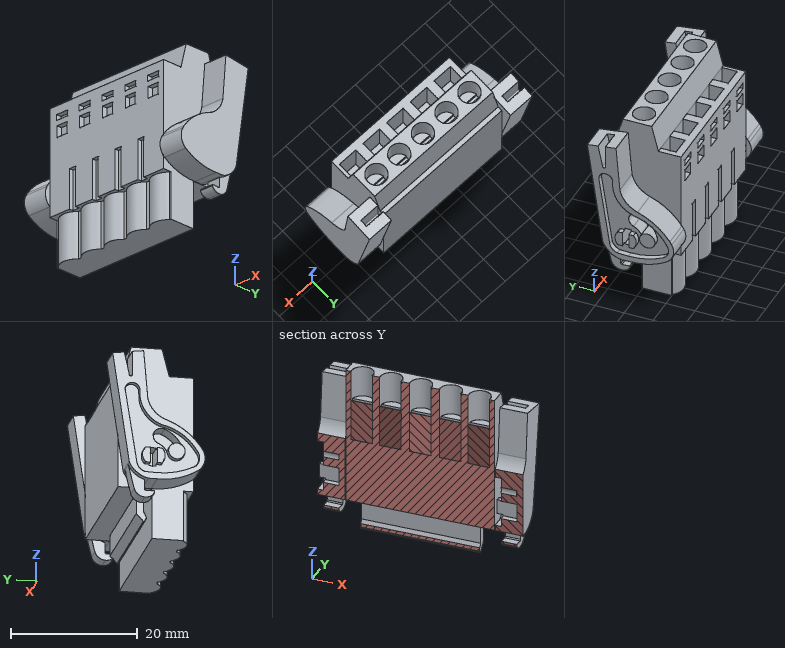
import cadquery as cq
import math


overall_width = 35.1
pole_count = 5
pitch = 5.1
housing_width = 25.4
lever_width = 4.75

housing_depth = 12.15
body_bottom = 8.3
shoulder_height = 27.3
housing_top = 31.8
front_shoulder_y = 3.9
back_shoulder_y = 11.3
ridge_front_y = 5.05
ridge_back_y = 10.05

sleeve_back_y = 6.7
sleeve_web_y = 1.6
sleeve_front_y = 0.6
sleeve_chord = 4.5

screw_y = (ridge_front_y + ridge_back_y) / 2
inner_screw_x = 5.1
outer_screw_x = 10.0
screw_radius = 1.83
screw_length = 7.02
screw_recess = 5.25
screw_slot_width = 0.63
screw_slot_depth = 0.63

entry_offset_x = 0.18
entry_width = 3.5
entry_front_y = 1.25
entry_depth = 7.02

window_depth = 1.0
label_width = 2.42
label_height = 1.02
label_z = 25.25
test_width = 2.2
test_height = 2.05
test_z = 22.75

groove_width = 1.3
groove_top = 15.35
groove_depth = 0.77

latch_width = (pole_count - 1) * pitch

lever_recess = 1.0
blind_depth = 3.6
hook_width = 2.67
pivot_y = 7.4
pivot_z = 12.25
pivot_radius = 1.55
pivot_head_radius = 1.83
pivot_head_height = 2.5
pivot_gap = 1.12
guide_radius = 3.83
guide_start_angle = 14.0
guide_end_angle = 68.0
guide_half_width = 1.35

pole_x = [(i - (pole_count - 1) / 2) * pitch for i in range(pole_count)]
groove_x = [x + pitch / 2 for x in pole_x[:-1]]
screw_x = [-outer_screw_x, -inner_screw_x, 0, inner_screw_x, outer_screw_x]


def block(x_mid, width, y_range, z_range):
    """Box centred on x_mid, between the given Y and Z limits."""
    y_min, y_max = y_range
    z_min, z_max = z_range
    box = cq.Workplane("XY").box(width, y_max - y_min, z_max - z_min, centered=(True, False, False))
    return box.translate((x_mid, y_min, z_min))


def side_sketch(x):
    """Workplane at the given X, with Y and Z as its axes; it extrudes toward +X."""
    return cq.Workplane("YZ", origin=(x, 0, 0))


def housing_body():
    return (
        side_sketch(-housing_width / 2)
        .moveTo(0, body_bottom)
        .lineTo(0, shoulder_height)
        .lineTo(front_shoulder_y, shoulder_height)
        .lineTo(ridge_front_y, housing_top)
        .lineTo(ridge_back_y, housing_top)
        .lineTo(back_shoulder_y, shoulder_height)
        .lineTo(housing_depth, shoulder_height)
        .lineTo(housing_depth, body_bottom)
        .close()
        .extrude(housing_width)
    )


def plug_sleeves():
    """Row of sleeves below the body, each with a bowed front between flat webs."""
    row = cq.Workplane("XY").moveTo(-housing_width / 2, sleeve_back_y).lineTo(-housing_width / 2, sleeve_web_y)
    for x in pole_x:
        row = row.lineTo(x - sleeve_chord / 2, sleeve_web_y)
        row = row.threePointArc((x, sleeve_front_y), (x + sleeve_chord / 2, sleeve_web_y))
    row = row.lineTo(housing_width / 2, sleeve_web_y).lineTo(housing_width / 2, sleeve_back_y)
    return row.close().extrude(body_bottom)


def latch_strip():
    """Downward strip with a hooked lower edge, behind the sleeves."""
    return (
        side_sketch(-latch_width / 2)
        .moveTo(8.7, body_bottom)
        .lineTo(8.7, 4.88)
        .lineTo(7.55, 3.7)
        .lineTo(7.35, 3.7)
        .lineTo(7.05, 4.28)
        .lineTo(7.5, 5.3)
        .lineTo(7.5, body_bottom)
        .close()
        .extrude(latch_width)
    )


def screw_holes():
    return (
        cq.Workplane("XY", origin=(0, 0, housing_top))
        .pushPoints([(x, screw_y) for x in screw_x])
        .circle(screw_radius)
        .extrude(-(screw_recess + screw_length))
    )


def make_housing():
    housing = housing_body().union(plug_sleeves()).union(latch_strip()).cut(screw_holes())
    for x in pole_x:
        entry_x = x + entry_offset_x
        entry_z = (shoulder_height - entry_depth, shoulder_height)
        label_span = (label_z - label_height / 2, label_z + label_height / 2)
        test_span = (test_z - test_height / 2, test_z + test_height / 2)
        housing = housing.cut(block(entry_x, entry_width, (entry_front_y, front_shoulder_y), entry_z))
        housing = housing.cut(block(entry_x, label_width, (0, window_depth), label_span))
        housing = housing.cut(block(entry_x, test_width, (0, window_depth), test_span))
    for x in groove_x:
        housing = housing.cut(block(x, groove_width, (0, groove_depth), (body_bottom, groove_top)))
    return housing


def make_screw(x):
    top = housing_top - screw_recess
    screw = cq.Workplane("XY", origin=(x, screw_y, top)).circle(screw_radius).extrude(-screw_length)
    slot_y = (screw_y - screw_slot_width / 2, screw_y + screw_slot_width / 2)
    return screw.cut(block(x, 2 * screw_radius, slot_y, (top - screw_slot_depth, top)))


def lever_plate(x):
    return (
        side_sketch(x)
        .moveTo(14.05, 28.9)
        .lineTo(9.05, 29.55)
        .lineTo(8.4, 21.7)
        .threePointArc((7.58, 19.85), (5.35, 18.25))
        .threePointArc((2.53, 16.8), (-0.2, 14.1))
        .lineTo(-0.53, 13.6)
        .threePointArc((-0.88, 12.3), (0.1, 10.25))
        .threePointArc((3.3, 8.75), (6.88, body_bottom))
        .lineTo(8.3, body_bottom)
        .threePointArc((10.1, 9.13), (11.37, 10.8))
        .close()
        .extrude(lever_width)
    )


def lever_pocket(x):
    """Shallow pocket that leaves a rim around the lever's -X face."""
    return (
        side_sketch(x)
        .moveTo(12.0, 22.7)
        .threePointArc((10.8, 24.1), (9.65, 23.05))
        .lineTo(9.6, 21.65)
        .threePointArc((8.6, 19.2), (6.18, 17.4))
        .threePointArc((2.8, 15.97), (0.42, 13.37))
        .threePointArc((0.05, 12.2), (0.95, 10.7))
        .threePointArc((3.8, 9.65), (6.88, 9.3))
        .lineTo(8.85, 9.37)
        .threePointArc((9.7, 9.9), (10.15, 10.8))
        .close()
        .extrude(lever_recess)
    )


def finger_slot(x):
    """Tapered slot, open at the lever's upper end and -X face."""
    return (
        side_sketch(x)
        .moveTo(12.18, 29.3)
        .lineTo(11.37, 25.4)
        .threePointArc((11.1, 25.2), (10.88, 25.4))
        .lineTo(10.88, 29.5)
        .close()
        .extrude(blind_depth)
    )


def hook(x):
    """Locking hook below the lever, centred across its width."""
    return (
        side_sketch(x + (lever_width - hook_width) / 2)
        .moveTo(11.37, 10.88)
        .lineTo(10.35, 6.75)
        .threePointArc((9.75, 5.85), (8.67, 5.48))
        .threePointArc((7.65, 5.72), (7.05, 6.4))
        .lineTo(7.15, 6.65)
        .lineTo(8.5, 6.55)
        .lineTo(8.7, 6.75)
        .lineTo(8.7, 10.88)
        .close()
        .extrude(hook_width)
    )


def guide_point(radius, angle):
    turn = math.radians(angle)
    return (pivot_y - radius * math.cos(turn), pivot_z + radius * math.sin(turn))


def guide_slot(x):
    """Arc-shaped slot about the pivot, with round ends."""
    inner = guide_radius - guide_half_width
    outer = guide_radius + guide_half_width
    middle_angle = (guide_start_angle + guide_end_angle) / 2
    depth = blind_depth - lever_recess
    floor = x + lever_recess
    band = (
        side_sketch(floor)
        .moveTo(*guide_point(inner, guide_start_angle))
        .threePointArc(guide_point(inner, middle_angle), guide_point(inner, guide_end_angle))
        .lineTo(*guide_point(outer, guide_end_angle))
        .threePointArc(guide_point(outer, middle_angle), guide_point(outer, guide_start_angle))
        .close()
        .extrude(depth)
    )
    ends = [guide_point(guide_radius, guide_start_angle), guide_point(guide_radius, guide_end_angle)]
    return band.union(side_sketch(floor).pushPoints(ends).circle(guide_half_width).extrude(depth))


def stop_pin(x):
    """Round pin that fills the lower end of the guide slot, flush with the lever's face."""
    centre = guide_point(guide_radius, guide_start_angle)
    return side_sketch(x).moveTo(*centre).circle(guide_half_width).extrude(blind_depth)


def pivot_head(x):
    """Round head with flats above and below, standing in the pocket."""
    pivot = side_sketch(x).moveTo(pivot_y, pivot_z)
    flats = side_sketch(x).moveTo(pivot_y, pivot_z).rect(2 * pivot_head_radius, pivot_head_height)
    return pivot.circle(pivot_head_radius).extrude(lever_recess).intersect(flats.extrude(lever_recess))


def pivot_split(x):
    """Upright gap through the pivot head, with round ends."""
    gap = side_sketch(x).moveTo(pivot_y, pivot_z).rect(pivot_gap, 2 * pivot_radius).extrude(blind_depth)
    return gap.intersect(side_sketch(x).moveTo(pivot_y, pivot_z).circle(pivot_radius).extrude(blind_depth))


def make_lever(x):
    """Lever whose -X face lies at the given X."""
    lever = lever_plate(x).union(hook(x)).cut(lever_pocket(x)).cut(finger_slot(x))
    lever = lever.cut(guide_slot(x)).union(stop_pin(x)).union(pivot_head(x))
    return lever.cut(pivot_split(x))


housing = make_housing()
screws = [make_screw(x) for x in screw_x]
levers = [make_lever(x) for x in (-overall_width / 2, overall_width / 2 - lever_width)]

result = cq.Compound.makeCompound(
    [housing.val()] + [screw.val() for screw in screws] + [lever.val() for lever in levers]
)